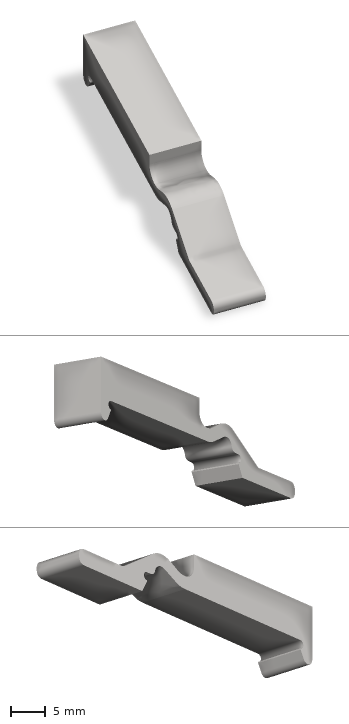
import cadquery as cq
import math

length = 51.67
width = 8.0
height = 9.25

block_length = 26.2
underside_z = 3.25
strip_thickness = 2.0

valley_radius = 2.0
valley_x = block_length + valley_radius
valley_z = underside_z + strip_thickness + valley_radius

top_rise_point = (30.5, 6.02)
crest_top = (33.6, 7.04)
ramp_start = (35.2, 6.57)

underside_rise_points = [(32.2, 4.65), (30.8, 3.99)]
hollow_radius = 1.4
hollow_x = 33.5
hollow_z = 3.7
hollow_corner_radius = 1.0

tab_thickness = 2.5
tab_root_x = 41.9
tab_root_fillet = 1.2
tab_end_radius = 1.0

notch_radius = 0.625
hook_tip_z = underside_z - 2 * notch_radius
hook_angle = math.radians(60)
hook_lip = 0.2
hook_face_z = hook_tip_z - hook_lip
hook_run = hook_face_z / math.tan(hook_angle)
left_tip_x = 2.6
right_tip_x = 36.67


def polar(center_x, center_z, radius, angle):
    """Point on a circle in the XZ plane."""
    return (center_x + radius * math.cos(angle), center_z + radius * math.sin(angle))


def profile():
    """Closed outline in the XZ plane, clockwise from the top left corner."""
    level = (1, 0)
    ramp_direction = (tab_root_x - ramp_start[0], tab_thickness - ramp_start[1])
    notch_z = underside_z - notch_radius
    tab_end_x = length - tab_end_radius

    corner_z = underside_z + hollow_corner_radius
    corner_rise = corner_z - hollow_z
    corner_x = hollow_x + math.sqrt((hollow_radius + hollow_corner_radius) ** 2 - corner_rise**2)
    corner_angle = math.atan2(corner_rise, corner_x - hollow_x)
    corner_mid_angle = (corner_angle + 3 * math.pi / 2 + math.pi) / 2

    toe_radius = (left_tip_x * math.sin(hook_angle) - hook_face_z * math.cos(hook_angle)) / (
        1 + math.sin(hook_angle) - math.cos(hook_angle)
    )

    return (
        cq.Workplane("XZ", origin=(0, width / 2, 0))
        .moveTo(0, height)
        .lineTo(block_length, height)
        .lineTo(block_length, valley_z)
        .threePointArc(
            polar(valley_x, valley_z, valley_radius, -3 * math.pi / 4),
            (valley_x, valley_z - valley_radius),
        )
        .spline([top_rise_point, crest_top, ramp_start], [level, ramp_direction], includeCurrent=True)
        .lineTo(tab_root_x, tab_thickness)
        .lineTo(tab_end_x, tab_thickness)
        .tangentArcPoint((length, tab_thickness - tab_end_radius), relative=False)
        .lineTo(length, tab_end_radius)
        .tangentArcPoint((tab_end_x, 0), relative=False)
        .lineTo(right_tip_x + hook_run, 0)
        .lineTo(right_tip_x, hook_face_z)
        .lineTo(right_tip_x, hook_tip_z)
        .threePointArc((right_tip_x + notch_radius, notch_z), (right_tip_x, underside_z))
        .lineTo(corner_x, underside_z)
        .threePointArc(
            polar(corner_x, corner_z, hollow_corner_radius, corner_mid_angle),
            polar(hollow_x, hollow_z, hollow_radius, corner_angle),
        )
        .threePointArc(
            polar(hollow_x, hollow_z, hollow_radius, math.pi / 4),
            (hollow_x, hollow_z + hollow_radius),
        )
        .spline(
            underside_rise_points + [(valley_x, underside_z)],
            [(-1, 0), (-1, 0)],
            includeCurrent=True,
        )
        .lineTo(left_tip_x, underside_z)
        .threePointArc((left_tip_x - notch_radius, notch_z), (left_tip_x, hook_tip_z))
        .lineTo(left_tip_x, hook_face_z)
        .lineTo(*polar(toe_radius, toe_radius, toe_radius, hook_angle - math.pi / 2))
        .threePointArc((toe_radius, 0), (0, toe_radius))
        .close()
    )


def round_tab_root(body):
    """Fillet the inside corner where the ramp meets the tab."""
    reach = 0.1
    corner = cq.selectors.BoxSelector(
        (tab_root_x - reach, -width, tab_thickness - reach),
        (tab_root_x + reach, width, tab_thickness + reach),
    )
    return body.edges(corner).fillet(tab_root_fillet)


result = round_tab_root(profile().extrude(width))